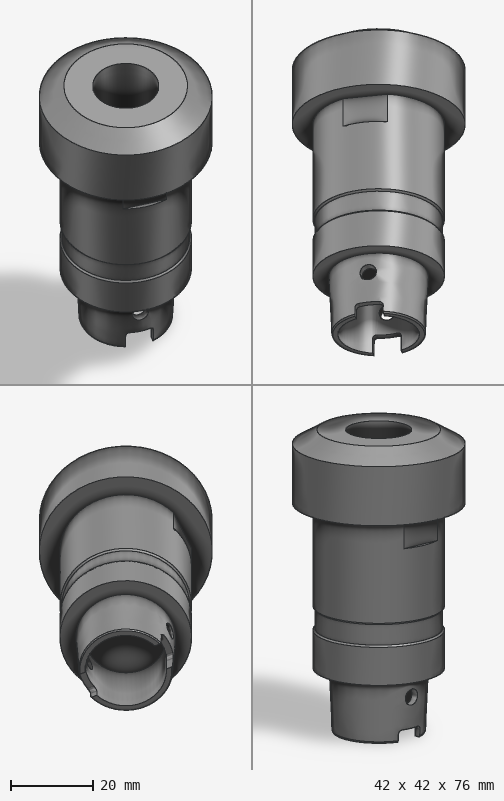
import cadquery as cq

TOTAL_HEIGHT = 76

HEAD_DIAMETER = 42.0
HEAD_TOP_DIAMETER = 30.0
HEAD_CONE_HEIGHT = 3.5
HEAD_HEIGHT = 18.4

BODY_DIAMETER = 32.0
GROOVE_BOTTOM = 25.5
GROOVE_TOP = 31.6
GROOVE_DEPTH = 0.45
FLATS_WIDTH = 30.0
FLATS_HEIGHT = 7.5

SHANK_HEIGHT = 15.95
SHANK_TOP_DIAMETER = 24.25
SHANK_END_DIAMETER = 22.8
SHANK_END_CHAMFER_HEIGHT = 0.45
SHANK_END_CHAMFER_WIDTH = 0.2
CAVITY_DIAMETER = 19.75
CROSS_HOLE_DIAMETER = 4.0
CROSS_HOLE_HEIGHT = 11.0

SLOT_WIDTH = 7.1
SLOT_CORNER_RADIUS = 1.0
LEFT_SLOT_DEPTH = 3.05
RIGHT_SLOT_DEPTH = 5.0

BORE_DIAMETER = 16.0
BORE_DEPTH = 48.0

head_bottom = TOTAL_HEIGHT - HEAD_HEIGHT
body_radius = BODY_DIAMETER / 2
groove_radius = body_radius - GROOVE_DEPTH
shank_end_radius = SHANK_END_DIAMETER / 2


def make_turned_body():
    """Revolve the outer profile; the groove walls slope at 45 degrees."""
    profile = [
        (0, 0),
        (shank_end_radius - SHANK_END_CHAMFER_WIDTH, 0),
        (shank_end_radius, SHANK_END_CHAMFER_HEIGHT),
        (SHANK_TOP_DIAMETER / 2, SHANK_HEIGHT),
        (body_radius, SHANK_HEIGHT),
        (body_radius, GROOVE_BOTTOM),
        (groove_radius, GROOVE_BOTTOM + GROOVE_DEPTH),
        (groove_radius, GROOVE_TOP - GROOVE_DEPTH),
        (body_radius, GROOVE_TOP),
        (body_radius, head_bottom),
        (HEAD_DIAMETER / 2, head_bottom),
        (HEAD_DIAMETER / 2, TOTAL_HEIGHT - HEAD_CONE_HEIGHT),
        (HEAD_TOP_DIAMETER / 2, TOTAL_HEIGHT),
        (0, TOTAL_HEIGHT),
    ]
    return cq.Workplane("XZ").polyline(profile).close().revolve(360, (0, 0), (0, 1))


def make_vertical_hole(diameter, bottom, depth):
    return cq.Workplane("XY").workplane(offset=bottom).circle(diameter / 2).extrude(depth)


def make_cross_hole():
    """Radial hole through both walls of the shank."""
    return (
        cq.Workplane("YZ")
        .center(0, CROSS_HOLE_HEIGHT)
        .circle(CROSS_HOLE_DIAMETER / 2)
        .extrude(SHANK_TOP_DIAMETER / 2, both=True)
    )


def make_drive_slot(side, depth):
    """Slot through one shank wall, open at the end, with rounded inner corners."""
    return (
        cq.Workplane("XY")
        .box(body_radius, SLOT_WIDTH, depth, centered=(True, True, False))
        .edges("|X and >Z")
        .fillet(SLOT_CORNER_RADIUS)
        .translate((side * body_radius / 2, 0, 0))
    )


def make_wrench_flat(side):
    """Material removed outside one wrench flat, directly below the head."""
    flat_x = FLATS_WIDTH / 2
    return (
        cq.Workplane("XY")
        .box(body_radius, BODY_DIAMETER, FLATS_HEIGHT, centered=(True, True, False))
        .translate((side * (flat_x + body_radius / 2), 0, head_bottom - FLATS_HEIGHT))
    )


result = make_turned_body()
result = result.cut(make_vertical_hole(BORE_DIAMETER, TOTAL_HEIGHT - BORE_DEPTH, BORE_DEPTH))
result = result.cut(make_vertical_hole(CAVITY_DIAMETER, 0, SHANK_HEIGHT))
result = result.cut(make_cross_hole())

for side, slot_depth in ((-1, LEFT_SLOT_DEPTH), (1, RIGHT_SLOT_DEPTH)):
    result = result.cut(make_drive_slot(side, slot_depth))
    result = result.cut(make_wrench_flat(side))